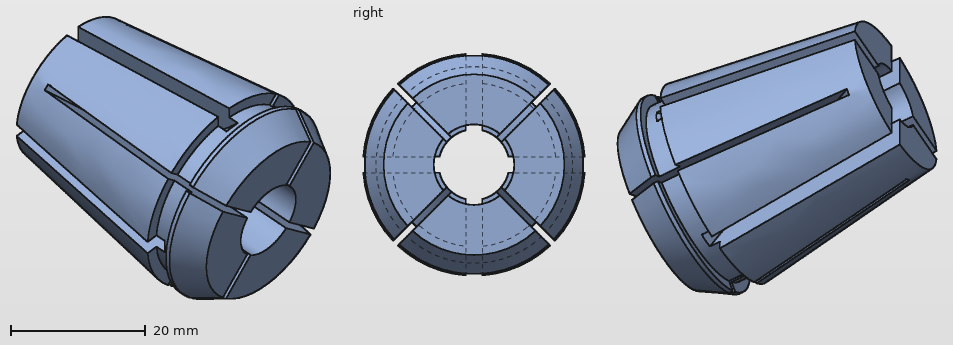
import cadquery as cq
import math

length = 40.0
max_diameter = 33.0
taper_angle = 8.0

groove_start = 30.9
groove_end = 34.4
groove_radius = 14.6
collar_radius = 16.25
collar_rim_end = 35.1
collar_angle = 30.0

bore_radius = 5.25
relief_radius = 5.95
bore_length = 20.0

saw_radius = 30.0

wide_slot_width = 2.4
wide_slot_count = 4
wide_saw_x = 8.5
wide_saw_height = 32.4

thin_slot_width = 1.0
thin_slot_count = 4
thin_slot_start = 3.05
thin_saw_height = 31.2

max_radius = max_diameter / 2
nose_radius = max_radius - groove_start * math.tan(math.radians(taper_angle))
end_radius = collar_radius - (length - collar_rim_end) * math.tan(math.radians(collar_angle))

thin_start_radius = nose_radius + thin_slot_start * math.tan(math.radians(taper_angle))
thin_saw_x = thin_slot_start + math.sqrt(saw_radius**2 - (thin_saw_height - thin_start_radius) ** 2)


def make_body():
    """Revolve the half section of the solid collet about the X axis."""
    return (
        cq.Workplane("XY")
        .polyline([
            (0, 0),
            (0, nose_radius),
            (groove_start, max_radius),
            (groove_start, groove_radius),
            (groove_end, groove_radius),
            (groove_end, collar_radius),
            (collar_rim_end, collar_radius),
            (length, end_radius),
            (length, 0),
        ])
        .close()
        .revolve(360, (0, 0, 0), (1, 0, 0))
    )


def make_bore():
    """Gripping bore at the nose, with a wider relief bore behind it."""
    grip = cq.Workplane("YZ").circle(bore_radius).extrude(length)
    relief = (
        cq.Workplane("YZ")
        .workplane(offset=bore_length)
        .circle(relief_radius)
        .extrude(length - bore_length)
    )
    return grip.union(relief)


def make_slot(width, saw_x, saw_height, open_x):
    """Slot on the +Z side: the path of the saw from saw_x to the open end."""
    toward_end = math.copysign(1, saw_x - open_x)
    arc_middle = saw_radius * math.sqrt(0.5)
    return (
        cq.Workplane("XZ")
        .moveTo(open_x, saw_height)
        .lineTo(open_x, saw_height - saw_radius)
        .lineTo(saw_x, saw_height - saw_radius)
        .threePointArc(
            (saw_x + toward_end * arc_middle, saw_height - arc_middle),
            (saw_x + toward_end * saw_radius, saw_height),
        )
        .close()
        .extrude(width / 2, both=True)
    )


def cut_around(body, cutter, count, first_angle):
    """Cut equally spaced copies of the cutter around the X axis."""
    for index in range(count):
        angle = first_angle + index * 360 / count
        body = body.cut(cutter.rotate((0, 0, 0), (1, 0, 0), angle))
    return body


wide_slot = make_slot(wide_slot_width, wide_saw_x, wide_saw_height, 0)
thin_slot = make_slot(thin_slot_width, thin_saw_x, thin_saw_height, length)

result = make_body().cut(make_bore())
result = cut_around(result, wide_slot, wide_slot_count, 0)
result = cut_around(result, thin_slot, thin_slot_count, 180 / wide_slot_count)